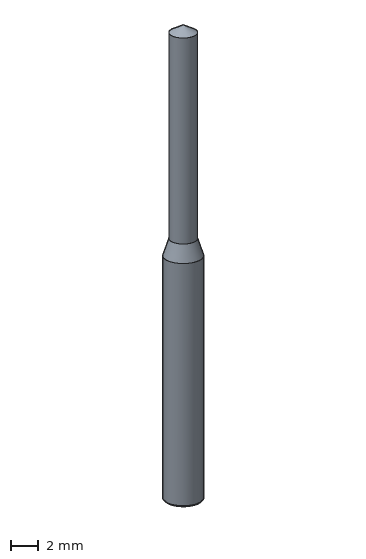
import cadquery as cq
import math

total_length = 37.5
shank_diameter = 3.0
neck_diameter = 2.1
shank_length = 19.28
taper_length = 1.35
bottom_chamfer = 0.15
tip_slope = 30.0

shank_radius = shank_diameter / 2
neck_radius = neck_diameter / 2
tip_height = neck_radius * math.tan(math.radians(tip_slope))
taper_top = shank_length + taper_length
neck_top = total_length - tip_height
bottom_z = -total_length / 2

profile = (
    cq.Workplane("XZ", origin=(0, 0, bottom_z))
    .moveTo(0, 0)
    .lineTo(shank_radius - bottom_chamfer, 0)
    .lineTo(shank_radius, bottom_chamfer)
    .lineTo(shank_radius, shank_length)
    .lineTo(neck_radius, taper_top)
    .lineTo(neck_radius, neck_top)
    .lineTo(0, total_length)
    .close()
)

result = profile.revolve(360, (0, 0, 0), (0, 1, 0))